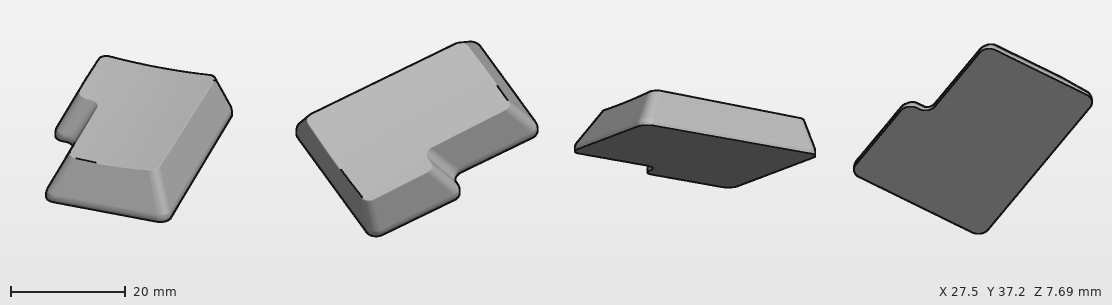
import cadquery as cq
import math

WIDTH = 27.45
LENGTH = 37.2
NOTCH_WIDTH = 4.5
NOTCH_LENGTH = 18.5
BASE_CORNER_RADIUS = 2.0
SHOULDER_CORNER_RADIUS = 1.85
TOP_CORNER_RADIUS = 1.55

SKIRT_HEIGHT = 0.55
SHOULDER_HEIGHT = 0.8
SIDE_LEAN = 26.5
FRONT_LEAN = 33.0
BACK_LEAN = 5.0

DISH_RADIUS = 100.45
DISH_AXIS_X = -0.37
DISH_TILT = 1.1
DISH_FLOOR_HEIGHT = 6.9
TOP_EDGE_RADIUS = 0.2

BLANK_HEIGHT = 8.93
DISH_OVERHANG = 18.6

shoulder_top = SKIRT_HEIGHT + SHOULDER_HEIGHT
shoulder_middle = SKIRT_HEIGHT + SHOULDER_HEIGHT / 2


def outline(height, lean_rise, radius):
    """Rounded L at a height, its walls moved in by what they lean over lean_rise."""
    side_inset = lean_rise * math.tan(math.radians(SIDE_LEAN))
    front_inset = lean_rise * math.tan(math.radians(FRONT_LEAN))
    back_inset = lean_rise * math.tan(math.radians(BACK_LEAN))
    left = -WIDTH / 2 + side_inset
    right = WIDTH / 2 - side_inset
    front = -LENGTH / 2 + front_inset
    back = LENGTH / 2 - back_inset
    notch_x = left + NOTCH_WIDTH
    notch_y = front + NOTCH_LENGTH
    corners = [
        (left, back),
        (left, notch_y),
        (notch_x, notch_y),
        (notch_x, front),
        (right, front),
        (right, back),
    ]
    sharp = cq.Wire.makePolygon([cq.Vector(x, y, height) for x, y in corners], close=True)
    return sharp.fillet2D(radius, sharp.Vertices())


def skirt():
    """Upright band around the foot."""
    base = outline(0, 0, BASE_CORNER_RADIUS)
    return cq.Solid.extrudeLinear(base, [], cq.Vector(0, 0, SKIRT_HEIGHT))


def shoulder():
    """Parabolic rounding, tangent to the skirt below and to the leaning walls above."""
    full_rise = SHOULDER_HEIGHT / 2
    middle_rise = full_rise / 4
    sections = [
        outline(SKIRT_HEIGHT, 0, BASE_CORNER_RADIUS),
        outline(shoulder_middle, middle_rise, BASE_CORNER_RADIUS),
        outline(shoulder_top, full_rise, SHOULDER_CORNER_RADIUS),
    ]
    return cq.Solid.makeLoft(sections)


def leaning_walls():
    """Flat walls above the shoulder, carried up past the finished top."""
    sections = [
        outline(shoulder_top, shoulder_top - shoulder_middle, SHOULDER_CORNER_RADIUS),
        outline(BLANK_HEIGHT, BLANK_HEIGHT - shoulder_middle, TOP_CORNER_RADIUS),
    ]
    return cq.Solid.makeLoft(sections, True)


def dish():
    """Cylinder that scoops the top."""
    half_length = LENGTH / 2 + DISH_OVERHANG
    return (
        cq.Workplane("XZ")
        .circle(DISH_RADIUS)
        .extrude(half_length, both=True)
        .rotate((0, 0, 0), (1, 0, 0), -DISH_TILT)
        .translate((DISH_AXIS_X, 0, DISH_FLOOR_HEIGHT + DISH_RADIUS))
    )


body = cq.Workplane(leaning_walls()).cut(dish())
body = body.faces(">Z").edges().fillet(TOP_EDGE_RADIUS)
result = body.union(cq.Workplane(shoulder())).union(cq.Workplane(skirt()))